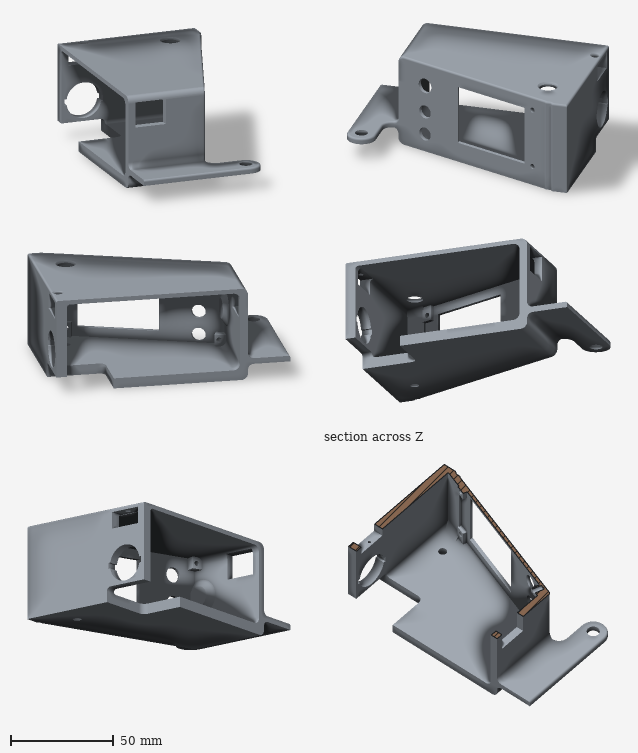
import cadquery as cq
import math

TOTAL_X = 116.45
TOTAL_Y = 72.2
HEIGHT = 47.1
BOX_X = 95.4
BOX_CORNER_R = 3.3
RIM_R = 1.0
BACK_CORNER_R = 0.4

BACK_FLAT_X = 7.0
SLOPE_ANGLE = 20.0
SLOPE = math.tan(math.radians(SLOPE_ANGLE))
COS_SLOPE = math.cos(math.radians(SLOPE_ANGLE))
SIN_SLOPE = math.sin(math.radians(SLOPE_ANGLE))
DENT_START_X, DENT_FLOOR_X, DENT_FLOOR_END_X, DENT_END_X = 7.4, 8.7, 11.0, 12.0
DENT_Y = 71.1

FLANGE_BOTTOM_Z = 7.95
FLANGE_TOP_Z = 10.85
FLANGE_ROOT_R = 2.8
LOBE_R = 7.15
LOBE_X = TOTAL_X - LOBE_R
LOBE_TOP_Y = 63.3
LOBE_Y = LOBE_TOP_Y - LOBE_R
LOBE_HOLE_D = 6.4
LOBE_ROOT_R = 5.0

LEFT_WALL = 5.2
RIGHT_WALL = 4.0
FLOOR = 5.2
ROOF = 2.2
CAVITY_LEFT_R = 1.7
CAVITY_RIGHT_R = 3.3
CEILING_Z = HEIGHT - ROOF
CAVITY_RIGHT_X = BOX_X - RIGHT_WALL

LEDGE_THICKNESS = 3.5
PANEL_THICKNESS = 1.9
LEDGE_END_X = 15.5
LEDGE_FILLET_R = 3.2

POST_HOLE_D = 2.6
LEFT_POST_TOP = 4.1
LEFT_POST_X = (14.8, 19.8)
LEFT_POST_HEIGHT = 7.6
LEFT_POST_HOLE_X = 17.5
LEFT_POST_HOLE_INSET = 4.7
RIGHT_POST_TOP = 6.3
RIGHT_POST_X = 86.0
RIGHT_POST_HEIGHT = 6.0
RIGHT_POST_HOLE_X = 88.2
RIGHT_POST_HOLE_INSET = 3.3
RIGHT_POST_HOLE_DEPTH = 5.0

DISPLAY_X = (23.3, 61.4)
DISPLAY_Z = (10.1, 40.1)
BUTTON_X = 79.5
BUTTONS = ((35.2, 7.7), (21.2, 6.9), (9.3, 6.9))

BOSS_Y, BOSS_Z = 36.0, 25.0
BOSS_BASE_R, BOSS_TIP_R, BOSS_HEIGHT = 9.0, 5.2, 2.4

WINDOW_Y = (3.8, 19.6)
WINDOW_Z = (36.8, 45.1)
OUTLET_Y = (3.8, 19.6)
OUTLET_Z = (31.3, 44.1)
PORT_Y, PORT_Z = 11.8, 18.2
PORT_D = 18.2
PORT_KEY_LENGTH, PORT_KEY_WIDTH = 20.2, 3.0

NOTCH_FLOOR_X = 28.6
NOTCH_WALL_Y = 22.8
NOTCH_WALL_Z = 7.6
NOTCH_FLOOR_R = 3.0
NOTCH_WALL_R = 2.0

ACCESS_X, ACCESS_Y = 15.3, 53.2
ACCESS_D, ACCESS_SINK_D, ACCESS_SCREW_D = 8.2, 10.1, 4.4
CLAMP_X, CLAMP_Y = 3.2, 12.3
CLAMP_D, CLAMP_SINK_D = 2.6, 5.3
CLAMP_PILOT_D, CLAMP_PILOT_DEPTH = 1.6, 6.0
COUNTERSINK_TAPER = 45

CLEARANCE = 2.0
MARGIN = 0.1
REACH = 2 * TOTAL_X


def block(x, y, z):
    """Box spanning the given (low, high) ranges."""
    size = [high - low for low, high in (x, y, z)]
    return cq.Workplane("XY").box(*size, centered=False).translate((x[0], y[0], z[0]))


def slope_y(x):
    """Y of the outer face of the sloped wall."""
    return TOTAL_Y - (x - BACK_FLAT_X) * SLOPE


def along_slope(x, depth):
    """Distance along the sloped wall of the point at X, depth below the outer face."""
    return (x - BACK_FLAT_X + depth * SIN_SLOPE) / COS_SLOPE


def slope_plane(depth):
    """Plane parallel to the sloped wall: local x along it, local y = Z, normal into the box."""
    origin = (BACK_FLAT_X - depth * SIN_SLOPE, TOTAL_Y - depth * COS_SLOPE, 0)
    return cq.Workplane(cq.Plane(origin, (COS_SLOPE, -SIN_SLOPE, 0), (-SIN_SLOPE, -COS_SLOPE, 0)))


def slope_cylinder(x, z, diameter, depth, x_depth):
    """Cylinder through the sloped wall down to depth, centred on X at x_depth."""
    u = along_slope(x, x_depth)
    return slope_plane(-CLEARANCE).center(u, z).circle(diameter / 2).extrude(depth + CLEARANCE)


def front_profile():
    """Box and flange section, extruded along Y."""
    box = block((0, BOX_X), (0, TOTAL_Y), (0, HEIGHT)).edges("|Y and >X").fillet(BOX_CORNER_R)
    flange = block((BOX_X / 2, TOTAL_X), (0, TOTAL_Y), (FLANGE_BOTTOM_Z, FLANGE_TOP_Z))
    root = cq.selectors.BoxSelector(
        (BOX_X - MARGIN, -MARGIN, FLANGE_BOTTOM_Z - MARGIN),
        (BOX_X + MARGIN, TOTAL_Y + MARGIN, FLANGE_TOP_Z + MARGIN),
    )
    return box.union(flange).edges("|Y").edges(root).fillet(FLANGE_ROOT_R)


def plan_outline():
    """Outline seen along Z, extruded over the full height."""
    lobe_left = LOBE_X - LOBE_R
    root_tangent = LOBE_ROOT_R / math.tan(math.radians(90 - SLOPE_ANGLE) / 2)
    root_corner_y = slope_y(lobe_left)
    root_start_x = lobe_left - root_tangent * COS_SLOPE
    root_mid_angle = math.radians(-(90 + SLOPE_ANGLE) / 2)
    root_centre = (lobe_left - LOBE_ROOT_R, root_corner_y + root_tangent)
    root_mid = (
        root_centre[0] + LOBE_ROOT_R * math.cos(root_mid_angle),
        root_centre[1] + LOBE_ROOT_R * math.sin(root_mid_angle),
    )
    outline = (
        cq.Workplane("XY")
        .lineTo(0, TOTAL_Y)
        .lineTo(DENT_START_X, TOTAL_Y)
        .lineTo(DENT_FLOOR_X, DENT_Y)
        .lineTo(DENT_FLOOR_END_X, DENT_Y)
        .lineTo(DENT_END_X, slope_y(DENT_END_X))
        .lineTo(root_start_x, slope_y(root_start_x))
        .threePointArc(root_mid, (lobe_left, root_centre[1]))
        .lineTo(lobe_left, LOBE_Y)
        .threePointArc((LOBE_X, LOBE_Y + LOBE_R), (TOTAL_X, LOBE_Y))
        .lineTo(TOTAL_X, 0)
        .close()
        .extrude(HEIGHT)
    )
    return outline.edges("|Z and <X and >Y").fillet(BACK_CORNER_R)


def outer_body():
    """Box and flange with the upper rim rounded along its left, back and right edges."""
    body = front_profile().intersect(plan_outline())
    behind_front = cq.selectors.BoxSelector(
        (-MARGIN, MARGIN, FLANGE_TOP_Z - MARGIN),
        (TOTAL_X + MARGIN, TOTAL_Y + MARGIN, HEIGHT + MARGIN),
    )
    back_rim = body.edges(behind_front).edges("not |Y").edges("not |Z")
    left_rim = body.faces("<X").edges(">Z")
    right_rim = body.faces(">X").edges(">Z")
    hole = cq.Workplane("XY").center(LOBE_X, LOBE_Y).circle(LOBE_HOLE_D / 2).extrude(HEIGHT)
    return back_rim.add(left_rim).add(right_rim).fillet(RIM_R).cut(hole)


def cavity():
    """Rounded tunnel from the front, closed by the ledge and the thin panel of the sloped wall."""
    tunnel = block((LEFT_WALL, CAVITY_RIGHT_X), (0, TOTAL_Y), (FLOOR, CEILING_Z))
    tunnel = tunnel.edges("|Y and <X").fillet(CAVITY_LEFT_R).edges("|Y and >X").fillet(CAVITY_RIGHT_R)
    mid_z = (FLOOR + CEILING_Z) / 2

    panel_space = slope_plane(PANEL_THICKNESS).center(0, mid_z).rect(REACH, HEIGHT).extrude(REACH)
    panel_space = panel_space.intersect(block((LEDGE_END_X, BOX_X), (0, TOTAL_Y), (0, HEIGHT)))

    ledge_space = slope_plane(LEDGE_THICKNESS).center(0, mid_z).rect(REACH, CEILING_Z - FLOOR).extrude(REACH)
    outward = cq.selectors.DirectionMinMaxSelector(cq.Vector(SIN_SLOPE, COS_SLOPE, 0))
    ledge_space = ledge_space.faces(outward).edges("not |Z").fillet(LEDGE_FILLET_R)
    ledge_space = ledge_space.intersect(block((0, LEDGE_END_X), (0, TOTAL_Y), (0, HEIGHT)))
    return tunnel.intersect(panel_space.union(ledge_space))


def post(x_low, x_high, z_low, z_high, top):
    """Square post standing on the sloped wall; X limits are those of its top face."""
    u_low, u_high = along_slope(x_low, top), along_slope(x_high, top)
    centre = ((u_low + u_high) / 2, (z_low + z_high) / 2)
    sunk = PANEL_THICKNESS / 2
    return slope_plane(sunk).center(*centre).rect(u_high - u_low, z_high - z_low).extrude(top - sunk)


def add_left_post(body, edge_z, direction):
    """Post with a through hole; direction points from the floor or ceiling at edge_z into the cavity."""
    inner_z = edge_z + direction * LEFT_POST_HEIGHT
    hole_z = edge_z + direction * LEFT_POST_HOLE_INSET
    hole = slope_cylinder(LEFT_POST_HOLE_X, hole_z, POST_HOLE_D, LEFT_POST_TOP, LEFT_POST_TOP)
    return body.union(post(*LEFT_POST_X, *sorted((edge_z, inner_z)), LEFT_POST_TOP)).cut(hole)


def add_right_post(body, edge_z, direction):
    """Taller post, merged into the right wall, with a blind hole."""
    inner_z = edge_z + direction * RIGHT_POST_HEIGHT
    hole_z = edge_z + direction * RIGHT_POST_HOLE_INSET
    hole = (
        slope_plane(RIGHT_POST_TOP - RIGHT_POST_HOLE_DEPTH)
        .center(along_slope(RIGHT_POST_HOLE_X, RIGHT_POST_TOP), hole_z)
        .circle(POST_HOLE_D / 2)
        .extrude(RIGHT_POST_HOLE_DEPTH)
    )
    right_x = CAVITY_RIGHT_X + RIGHT_WALL / 2
    return body.union(post(RIGHT_POST_X, right_x, *sorted((edge_z, inner_z)), RIGHT_POST_TOP)).cut(hole)


def add_posts(body):
    for edge_z, direction in ((FLOOR, 1), (CEILING_Z, -1)):
        body = add_left_post(body, edge_z, direction)
        body = add_right_post(body, edge_z, direction)
    return body


def add_boss(body):
    boss = (
        cq.Workplane("YZ", origin=(CAVITY_RIGHT_X - BOSS_HEIGHT, BOSS_Y, BOSS_Z))
        .circle(BOSS_TIP_R)
        .workplane(offset=BOSS_HEIGHT)
        .circle(BOSS_BASE_R)
        .loft()
    )
    inside = slope_plane(PANEL_THICKNESS / 2).rect(REACH, REACH).extrude(TOTAL_Y)
    return body.union(boss.intersect(inside))


def cut_sloped_wall(body):
    display_y = (slope_y(DISPLAY_X[1]) - CLEARANCE - PANEL_THICKNESS, TOTAL_Y)
    body = body.cut(block(DISPLAY_X, display_y, DISPLAY_Z))
    for z, diameter in BUTTONS:
        body = body.cut(slope_cylinder(BUTTON_X, z, diameter, 2 * PANEL_THICKNESS, PANEL_THICKNESS))
    return body


def cut_side_walls(body):
    body = body.cut(block((0, LEFT_WALL + CAVITY_LEFT_R), WINDOW_Y, WINDOW_Z))
    body = body.cut(block((CAVITY_RIGHT_X - CAVITY_RIGHT_R, BOX_X), OUTLET_Y, OUTLET_Z))
    port = cq.Workplane("YZ", origin=(0, PORT_Y, PORT_Z))
    body = body.cut(port.circle(PORT_D / 2).extrude(LEFT_WALL))
    return body.cut(port.rect(PORT_KEY_LENGTH, PORT_KEY_WIDTH).extrude(LEFT_WALL))


def cut_notch(body):
    floor_notch = block((0, NOTCH_FLOOR_X), (0, NOTCH_WALL_Y), (0, FLOOR))
    floor_notch = floor_notch.edges("|Z and >X and >Y").fillet(NOTCH_FLOOR_R)
    wall_notch = block((0, LEFT_WALL + CAVITY_LEFT_R), (0, NOTCH_WALL_Y), (0, NOTCH_WALL_Z))
    wall_notch = wall_notch.edges("|X and >Y and >Z").fillet(NOTCH_WALL_R)
    return body.cut(floor_notch).cut(wall_notch)


def cut_vertical_holes(body):
    roof = cq.Workplane("XY", origin=(0, 0, HEIGHT))
    access = roof.center(ACCESS_X, ACCESS_Y)
    access_sink = (ACCESS_SINK_D - ACCESS_D) / 2
    body = body.cut(access.circle(ACCESS_D / 2).extrude(-HEIGHT + FLOOR))
    body = body.cut(access.circle(ACCESS_SINK_D / 2).extrude(-access_sink, taper=COUNTERSINK_TAPER))
    body = body.cut(access.circle(ACCESS_SCREW_D / 2).extrude(-HEIGHT))

    clamp = roof.center(CLAMP_X, CLAMP_Y)
    clamp_sink = (CLAMP_SINK_D - CLAMP_D) / 2
    body = body.cut(clamp.circle(CLAMP_D / 2).extrude(WINDOW_Z[0] - HEIGHT))
    body = body.cut(clamp.circle(CLAMP_SINK_D / 2).extrude(-clamp_sink, taper=COUNTERSINK_TAPER))
    return body.cut(clamp.circle(CLAMP_PILOT_D / 2).extrude(WINDOW_Z[0] - HEIGHT - CLAMP_PILOT_DEPTH))


shell = outer_body().cut(cavity())
shell = add_boss(add_posts(shell))
shell = cut_side_walls(cut_sloped_wall(shell))
result = cut_vertical_holes(cut_notch(shell))